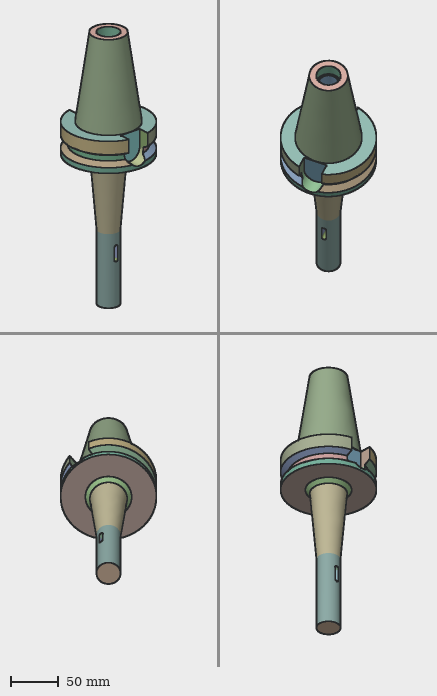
import cadquery as cq

total_height = 311.8
gauge_height = 209.8
flange_top = 209.0
flange_bottom = 172.0
neck_top = 167.7
shank_top = 85.0

taper_top_diameter = 40.2
taper_base_diameter = 69.8
flange_diameter = 100.0
groove_diameter = 86.0
collar_diameter = 48.3
neck_top_diameter = 39.0
shank_diameter = 25.3

upper_rim_height = 15.3
upper_flank_height = 4.0
groove_floor_height = 6.2
lower_flank_height = 4.7

keyway_width = 25.5
keyway_depth = 33.5
keyway_floor_distance = 35.2

pilot_diameter = 25.3
pilot_depth = 13.0
bore_diameter = 21.2
bore_depth = 43.5

drift_slot_width = 5.0
drift_slot_length = 18.7
drift_slot_height = 61.7


def turned_body():
    """Taper, flange, neck and shank revolved about Z."""
    groove_flank_top = flange_top - upper_rim_height
    groove_floor_top = groove_flank_top - upper_flank_height
    groove_floor_bottom = groove_floor_top - groove_floor_height
    lower_rim_top = groove_floor_bottom - lower_flank_height
    diameters_and_heights = [
        (shank_diameter, 0),
        (shank_diameter, shank_top),
        (neck_top_diameter, neck_top),
        (collar_diameter, flange_bottom),
        (flange_diameter, flange_bottom),
        (flange_diameter, lower_rim_top),
        (groove_diameter, groove_floor_bottom),
        (groove_diameter, groove_floor_top),
        (flange_diameter, groove_flank_top),
        (flange_diameter, flange_top),
        (taper_base_diameter, flange_top),
        (taper_base_diameter, gauge_height),
        (taper_top_diameter, total_height),
    ]
    outline = [(diameter / 2, height) for diameter, height in diameters_and_heights]
    half_section = cq.Workplane("XZ").polyline([(0, 0), *outline, (0, total_height)]).close()
    return half_section.revolve(360, (0, 0), (0, 1))


def keyway_cutter(side):
    """Round-bottomed keyway, open at the flange rim and top; side is -1 or +1 along X."""
    radius = keyway_width / 2
    bottom = flange_top - keyway_depth
    return (
        cq.Workplane("YZ", origin=(side * keyway_floor_distance, 0, 0))
        .moveTo(-radius, gauge_height)
        .lineTo(-radius, bottom + radius)
        .threePointArc((0, bottom), (radius, bottom + radius))
        .lineTo(radius, gauge_height)
        .close()
        .extrude(side * flange_diameter / 2)
    )


def blind_bore(diameter, depth):
    """Cylinder reaching down from the top of the taper."""
    return cq.Workplane("XY", origin=(0, 0, total_height - depth)).circle(diameter / 2).extrude(depth)


def drift_slot_cutter():
    """Upright rounded slot crossing the whole shank."""
    return (
        cq.Workplane("YZ", origin=(0, 0, drift_slot_height))
        .slot2D(drift_slot_length, drift_slot_width, 90)
        .extrude(shank_diameter, both=True)
    )


result = turned_body()
for side in (-1, 1):
    result = result.cut(keyway_cutter(side))
result = result.cut(blind_bore(pilot_diameter, pilot_depth))
result = result.cut(blind_bore(bore_diameter, bore_depth))
result = result.cut(drift_slot_cutter())